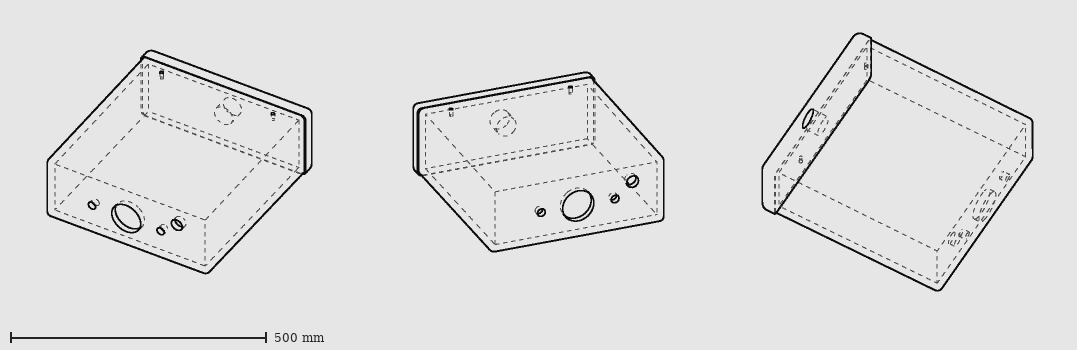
import cadquery as cq
import math

LENGTH = 406.0
LID_WIDTH = 375.0
LID_HEIGHT = 148.0

LID_THICKNESS = 33.5
LID_CORNER_RADIUS = 10.0
LID_EDGE_RADIUS = 15.0
LID_HOLE_DIAMETER = 41.5

SIDE_OVERHANG = 3.2
TOP_OVERHANG = 1.2
DRAFT = 1.83
WALL = 13.5
TANK_EDGE_RADIUS = 10.0
FRONT_EDGE_RADIUS = 10.5
TANK_LENGTH = LENGTH - LID_THICKNESS
TANK_WIDTH = LID_WIDTH - 2 * SIDE_OVERHANG
TANK_HEIGHT = LID_HEIGHT - 2 * TOP_OVERHANG
DRAFT_ANGLE = math.degrees(math.atan(DRAFT / TANK_LENGTH))
FRONT_TOP = TANK_HEIGHT / 2 - DRAFT

RECESS_DEPTH = 5.3
RECESS_SLOPE = 45.0
RECESS_FLOOR_WIDTH = 259.0
RECESS_FLOOR_END = 300.5
RECESS_CORNER_RADIUS = 9.5
RECESS_EDGE_RADIUS = 5.0
RECESS_REACH = RECESS_FLOOR_WIDTH / 2 + 2 * RECESS_DEPTH

OUTLET_DIAMETER = 65.8
BOLT_HOLE_DIAMETER = 16.2
BOLT_HOLE_SPACING = 156.0
INLET_DIAMETER = 24.8
INLET_X = 115.0
INLET_Z = 31.0

SCREW_HOLE_DIAMETER = 7.0
SCREW_HOLE_SPACING = 252.5
SCREW_HOLE_Y = 348.8

SELECT_MARGIN = 0.5
CLEARANCE = 20.5


def drafted_block(front_y, inset):
    """Block from front_y to the lid, lower at the front, inset from the tank's outer sides."""
    front_drop = DRAFT * (TANK_LENGTH - front_y) / TANK_LENGTH
    width = TANK_WIDTH - 2 * inset
    rear_height = TANK_HEIGHT - 2 * inset
    return (
        cq.Workplane("XZ", origin=(0, TANK_LENGTH, 0))
        .rect(width, rear_height)
        .workplane(offset=TANK_LENGTH - front_y)
        .rect(width, rear_height - 2 * front_drop)
        .loft(ruled=True)
    )


def cut_recess(tank):
    """Cut a pocket with sloped sides, tilted to keep its depth below the drafted top face."""
    front = -CLEARANCE
    floor = (
        cq.Sketch()
        .rect(RECESS_FLOOR_WIDTH, RECESS_FLOOR_END - front)
        .vertices()
        .fillet(RECESS_CORNER_RADIUS)
    )
    pocket = (
        cq.Workplane("XY", origin=(0, (RECESS_FLOOR_END + front) / 2, -RECESS_DEPTH))
        .placeSketch(floor)
        .extrude(2 * RECESS_DEPTH, taper=-RECESS_SLOPE)
        .rotate((0, 0, 0), (1, 0, 0), DRAFT_ANGLE)
        .translate((0, 0, FRONT_TOP))
    )
    return tank.cut(pocket)


def round_recess(tank):
    """Round the rim and the floor outline of the recess, all the way to the front face."""
    floor_z = FRONT_TOP - RECESS_DEPTH
    outline = []
    for level in (floor_z, FRONT_TOP):
        level_box = cq.selectors.BoxSelector(
            (-RECESS_REACH, SELECT_MARGIN, level - SELECT_MARGIN),
            (RECESS_REACH, TANK_LENGTH - RECESS_DEPTH, level + DRAFT),
        )
        outline += tank.edges(level_box).vals()
    return tank.newObject(outline).fillet(RECESS_EDGE_RADIUS)


def round_front(tank):
    """Round the whole outline of the front face, following the recess."""
    front_outline = cq.selectors.BoxSelector(
        (-TANK_WIDTH, -SELECT_MARGIN, -TANK_HEIGHT),
        (TANK_WIDTH, SELECT_MARGIN, TANK_HEIGHT),
    )
    return tank.edges(front_outline).fillet(FRONT_EDGE_RADIUS)


def front_hole(x, z, diameter):
    return (
        cq.Workplane("XZ", origin=(x, -CLEARANCE, z))
        .circle(diameter / 2)
        .extrude(-(2 * CLEARANCE + WALL))
    )


def screw_hole(x):
    return (
        cq.Workplane("XY", origin=(x, SCREW_HOLE_Y, 0))
        .circle(SCREW_HOLE_DIAMETER / 2)
        .extrude(TANK_HEIGHT)
    )


def make_tank():
    block = drafted_block(0, 0)
    tank = block.edges("not(|X or |Z)").fillet(TANK_EDGE_RADIUS)
    tank = round_front(round_recess(cut_recess(tank)))
    tank = tank.cut(drafted_block(WALL, WALL))

    tank = tank.cut(front_hole(0, 0, OUTLET_DIAMETER))
    tank = tank.cut(front_hole(INLET_X, INLET_Z, INLET_DIAMETER))
    for side in (-1, 1):
        tank = tank.cut(front_hole(side * BOLT_HOLE_SPACING / 2, 0, BOLT_HOLE_DIAMETER))
        tank = tank.cut(screw_hole(side * SCREW_HOLE_SPACING / 2))
    return tank


def make_lid():
    return (
        cq.Workplane("XZ", origin=(0, TANK_LENGTH, 0))
        .rect(LID_WIDTH, LID_HEIGHT)
        .extrude(-LID_THICKNESS)
        .edges("|Y")
        .fillet(LID_CORNER_RADIUS)
        .faces(">Y")
        .edges()
        .fillet(LID_EDGE_RADIUS)
        .faces(">Y")
        .workplane(origin=(0, LENGTH, 0))
        .hole(LID_HOLE_DIAMETER)
    )


tank = make_tank()
lid = make_lid()
result = cq.Compound.makeCompound([tank.val(), lid.val()])